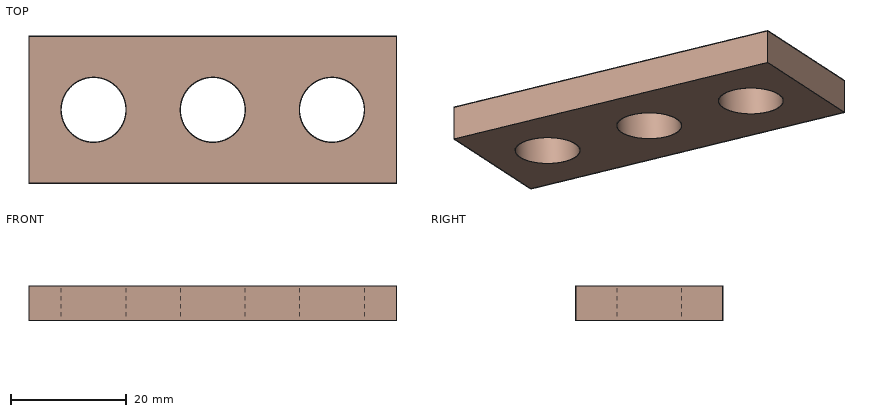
import cadquery as cq

length = 63.5
width = 25.4
thickness = 6.0

hole_diameter = 11.18
hole_count = 3
hole_pitch = 20.57


def make_bar():
    return cq.Workplane("XY").box(length, width, thickness, centered=(True, True, False))


def drill_hole_row(bar):
    return (
        bar.faces(">Z")
        .workplane(origin=(0, 0, thickness))
        .rarray(hole_pitch, width, hole_count, 1)
        .hole(hole_diameter)
    )


result = drill_hole_row(make_bar())